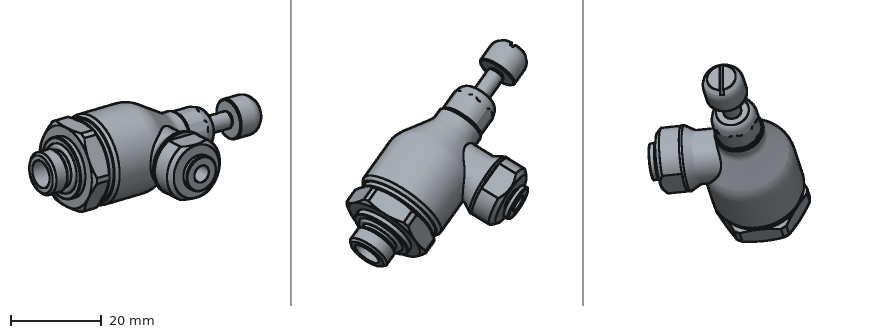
import cadquery as cq
import math


SLOPE = math.radians(30)

thread_radius = 4.9
thread_root_radius = 4.3
thread_chamfer = thread_radius - thread_root_radius
thread_top = 4.15
seal_radius = 5.75
seal_bottom = 4.8
collar_radius = 7.1
collar_bottom = 5.55
collar_chamfer = 0.2

hex_flats = 18.9
hex_corner_radius = 10.55
hex_bottom = 6.95
hex_top = 11.65

groove_radius = 8.9
ring_radius = 9.55
ring_bottom = 11.8
body_bottom = 12.9
body_bottom_radius = 9.9
body_bottom_chamfer = 1.0
body_radius = 10.4
shoulder_bottom = 24.2
shoulder_round = 6.7
neck_radius = 5.5
neck_round = 3.15
neck_top = 37.45
neck_chamfer = 0.35

nut_groove_radius = 4.8
nut_bottom = 37.7
nut_radius = 5.15
nut_flats = 10.05
nut_straight_top = 42.4
nut_dome_start = 43.65
nut_dome_radius = 4.8
nut_top = 45.0
nut_top_radius = 3.7

stem_radius = 2.0
stem_neck_radius = 1.7
stem_top = 51.35
knob_bottom = 51.8
knob_radius = 4.6
knob_chamfer = 0.25
knob_straight_top = 56.0
knob_taper_top = 57.55
knob_taper_radius = 4.1
knob_top_radius = 3.2
total_length = 58.5
slot_width = 0.8
slot_depth = 0.9

arm_height = 28.5
arm_radius = 6.0
arm_round = 1.05
arm_head_start = 13.1
arm_rim_radius = 7.4
arm_head_radius = 7.3
arm_head_end = 19.25
arm_head_chamfer = 1.05
arm_flat_start = 13.75
arm_flats = 12.8
collet_radius = 2.6
collet_flange_start = 19.95
collet_flange_radius = 4.1
collet_end = 21.2
collet_chamfer = 0.2

inlet_radius = 3.15
drill_point_angle = math.radians(118)
tube_radius = 2.0


def ring_of_revolution(points):
    """Spin a straight (radius, height) outline about Y, closing it along the axis."""
    outline = [(0, points[0][1])] + points
    if points[-1][0] > 0:
        outline.append((0, points[-1][1]))
    return cq.Workplane("XY").polyline(outline).close().revolve(360, (0, 0), (0, 1))


def hexagon(flats, bottom, top):
    """Hexagonal bar along Y with two of its flats facing +Z and -Z."""
    corner_diameter = flats / math.cos(math.pi / 6)
    bar = cq.Workplane("XZ", origin=(0, bottom, 0)).polygon(6, corner_diameter)
    return bar.extrude(bottom - top)


def make_threaded_end():
    thread = ring_of_revolution([
        (thread_radius - thread_chamfer, 0),
        (thread_radius, thread_chamfer),
        (thread_radius, thread_top - thread_chamfer),
        (thread_root_radius, thread_top),
        (thread_root_radius, collar_bottom),
    ])
    collar = ring_of_revolution([
        (collar_radius - collar_chamfer, collar_bottom),
        (collar_radius, collar_bottom + collar_chamfer),
        (collar_radius, hex_bottom),
    ])
    seal_round = collar_bottom - seal_bottom
    seal = (
        cq.Workplane("XY")
        .center(seal_radius - seal_round, collar_bottom)
        .circle(seal_round)
        .revolve(360, (seal_round - seal_radius, 0), (seal_round - seal_radius, 1))
    )
    return thread.union(collar).union(seal)


def make_large_hexagon():
    face_radius = hex_flats / 2
    chamfer = (hex_corner_radius - face_radius) * math.tan(SLOPE)
    envelope = ring_of_revolution([
        (face_radius, hex_bottom),
        (hex_corner_radius, hex_bottom + chamfer),
        (hex_corner_radius, hex_top - chamfer),
        (face_radius, hex_top),
    ])
    return hexagon(hex_flats, hex_bottom, hex_top).intersect(envelope)


def make_body():
    sine, cosine = math.sin(SLOPE), math.cos(SLOPE)
    cone_start_radius = body_radius - shoulder_round * (1 - cosine)
    cone_start = shoulder_bottom + shoulder_round * sine
    cone_end_radius = neck_radius + neck_round * (1 - cosine)
    cone_end = cone_start + (cone_start_radius - cone_end_radius) / math.tan(SLOPE)
    neck_start = cone_end + neck_round * sine
    return (
        cq.Workplane("XY")
        .moveTo(0, hex_top)
        .lineTo(groove_radius, hex_top)
        .lineTo(groove_radius, ring_bottom)
        .lineTo(ring_radius, ring_bottom)
        .lineTo(ring_radius, body_bottom)
        .lineTo(body_bottom_radius, body_bottom)
        .lineTo(body_radius, body_bottom + body_bottom_chamfer)
        .lineTo(body_radius, shoulder_bottom)
        .tangentArcPoint((cone_start_radius, cone_start), relative=False)
        .lineTo(cone_end_radius, cone_end)
        .tangentArcPoint((neck_radius, neck_start), relative=False)
        .lineTo(neck_radius, neck_top - neck_chamfer)
        .lineTo(neck_radius - neck_chamfer, neck_top)
        .lineTo(nut_groove_radius, neck_top)
        .lineTo(nut_groove_radius, nut_bottom)
        .lineTo(0, nut_bottom)
        .close()
        .revolve(360, (0, 0), (0, 1))
    )


def make_nut():
    envelope = (
        cq.Workplane("XY")
        .moveTo(0, nut_bottom)
        .lineTo(nut_radius, nut_bottom)
        .lineTo(nut_radius, nut_straight_top)
        .lineTo(nut_dome_radius, nut_dome_start)
        .tangentArcPoint((nut_top_radius, nut_top), relative=False)
        .lineTo(0, nut_top)
        .close()
        .revolve(360, (0, 0), (0, 1))
    )
    return envelope.intersect(hexagon(nut_flats, nut_bottom, nut_top))


def make_stem_and_knob():
    stem = ring_of_revolution([
        (stem_radius, nut_top),
        (stem_radius, stem_top),
        (stem_neck_radius, stem_top),
        (stem_neck_radius, knob_bottom),
    ])
    knob = (
        cq.Workplane("XY")
        .moveTo(0, knob_bottom)
        .lineTo(knob_radius - knob_chamfer, knob_bottom)
        .lineTo(knob_radius, knob_bottom + knob_chamfer)
        .lineTo(knob_radius, knob_straight_top)
        .tangentArcPoint((knob_taper_radius, knob_taper_top), relative=False)
        .lineTo(knob_top_radius, total_length)
        .lineTo(0, total_length)
        .close()
        .revolve(360, (0, 0), (0, 1))
    )
    slot = cq.Workplane("XY").box(slot_width, 2 * slot_depth, 2 * knob_radius)
    return stem.union(knob).cut(slot.translate((0, total_length, 0)))


def make_arm():
    flare_radius = arm_radius + arm_round * (1 - math.cos(SLOPE))
    flare_start = arm_head_start - (arm_rim_radius - flare_radius) / math.tan(SLOPE)
    profile = (
        cq.Workplane("XY", origin=(0, arm_height, 0))
        .lineTo(0, arm_radius)
        .lineTo(flare_start - arm_round * math.sin(SLOPE), arm_radius)
        .tangentArcPoint((flare_start, flare_radius), relative=False)
        .lineTo(arm_head_start, arm_rim_radius)
        .lineTo(arm_flat_start, arm_rim_radius)
        .lineTo(arm_flat_start, arm_head_radius)
        .lineTo(arm_head_end - arm_head_chamfer, arm_head_radius)
        .lineTo(arm_head_end, arm_head_radius - arm_head_chamfer)
        .lineTo(arm_head_end, 0)
        .close()
    )
    arm = profile.revolve(360, (0, 0), (1, 0))
    flat_length = arm_head_end - arm_flat_start
    for side in (1, -1):
        cutter = cq.Workplane("XY").box(flat_length, 2 * arm_head_radius, arm_flats)
        arm = arm.cut(cutter.translate((arm_flat_start + flat_length / 2, arm_height, side * arm_flats)))
    return arm


def make_collet():
    profile = (
        cq.Workplane("XY", origin=(0, arm_height, 0))
        .moveTo(arm_head_end, 0)
        .lineTo(arm_head_end, collet_radius)
        .lineTo(collet_flange_start, collet_radius)
        .lineTo(collet_flange_start, collet_flange_radius)
        .lineTo(collet_end - collet_chamfer, collet_flange_radius)
        .lineTo(collet_end, collet_flange_radius - collet_chamfer)
        .lineTo(collet_end, 0)
        .close()
    )
    return profile.revolve(360, (0, 0), (1, 0))


def make_passages():
    """Drilled inlet up to the arm axis, and the tube bore running out through the arm."""
    drill_tip = arm_height + inlet_radius / math.tan(drill_point_angle / 2)
    inlet = ring_of_revolution([(inlet_radius, 0), (inlet_radius, arm_height), (0, drill_tip)])
    tube_bore = cq.Workplane("YZ", origin=(0, arm_height, 0)).circle(tube_radius).extrude(collet_end)
    return inlet.union(tube_bore)


result = (
    make_threaded_end()
    .union(make_large_hexagon())
    .union(make_body())
    .union(make_nut())
    .union(make_stem_and_knob())
    .union(make_arm())
    .union(make_collet())
    .cut(make_passages())
)